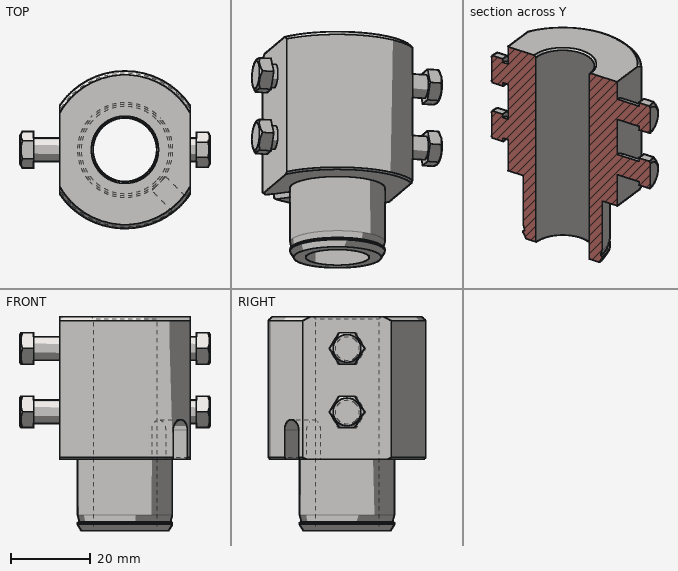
import cadquery as cq
import math

body_diameter = 39.8
body_height = 36.0
width_across_flats = 33.0
top_chamfer = 1.0
bottom_chamfer_radial = 0.5
bottom_chamfer_height = 0.5

spigot_diameter = 24.0
spigot_length = 18.0
groove_start = 14.0
groove_lip = 16.0
groove_step_height = 0.3
groove_depth = 0.45
lead_in_start = 16.4
lead_in_radial = 0.95

bore_diameter = 16.0
bore_chamfer = 0.5

bolt_diameter = 6.0
bolt_depths = (8.0, 24.0)
bolt_engagement = 5.0
head_across_flats = 8.0
head_height = 3.5
left_head_corner_diameter = head_across_flats / math.cos(math.radians(30))
right_head_corner_diameter = 8.9
head_face_diameter = 7.0
head_chamfer_angle = 30.0
left_head_end = 26.5
right_head_end = 21.5

slot_width = 5.0
slot_height = 10.0
slot_angle = -45.0


def make_body():
    body = cq.Workplane("XY").circle(body_diameter / 2).extrude(body_height)
    body = body.faces(">Z").chamfer(top_chamfer)
    body = body.faces("<Z").chamfer(bottom_chamfer_height, bottom_chamfer_radial)
    flats = cq.Workplane("XY").rect(width_across_flats, body_diameter).extrude(body_height)
    return body.intersect(flats)


def make_spigot():
    radius = spigot_diameter / 2
    groove_radius = radius - groove_depth
    profile = [
        (0, 0),
        (radius, 0),
        (radius, -groove_start),
        (groove_radius, -(groove_lip - groove_step_height)),
        (radius, -groove_lip),
        (radius, -lead_in_start),
        (radius - lead_in_radial, -spigot_length),
        (0, -spigot_length),
    ]
    return cq.Workplane("XZ").polyline(profile).close().revolve(360, (0, 0), (0, 1))


def make_bore():
    radius = bore_diameter / 2
    bore = cq.Workplane("XY", origin=(0, 0, -spigot_length)).circle(radius)
    bore = bore.extrude(spigot_length + body_height)
    mouth = cq.Workplane("XY", origin=(0, 0, body_height)).circle(radius + bore_chamfer)
    mouth = mouth.extrude(-bore_chamfer, taper=45)
    return bore.union(mouth)


def make_key_slot():
    """Round-topped slot cut inward as far as the spigot surface."""
    inner_radius = spigot_diameter / 2
    length = body_diameter / 2 - inner_radius
    half_width = slot_width / 2
    side_height = slot_height - half_width
    slot = (
        cq.Workplane("YZ", origin=(inner_radius, 0, 0))
        .moveTo(-half_width, 0)
        .lineTo(-half_width, side_height)
        .threePointArc((0, slot_height), (half_width, side_height))
        .lineTo(half_width, 0)
        .close()
        .extrude(length)
    )
    return slot.rotate((0, 0, 0), (0, 0, 1), slot_angle)


def make_bolt(head_end, corner_diameter):
    """Bolt along +X, its outer head face at X = head_end and its axis on Z = 0.

    The head has flats at top and bottom, and its six corners lie on the corner circle.
    """
    head_start = head_end - head_height
    shank_start = width_across_flats / 2 - bolt_engagement
    corner_radius = corner_diameter / 2
    half_height = head_across_flats / 2
    half_flat = math.sqrt(corner_radius**2 - half_height**2)
    outline = [
        (corner_radius, 0),
        (half_flat, half_height),
        (-half_flat, half_height),
        (-corner_radius, 0),
        (-half_flat, -half_height),
        (half_flat, -half_height),
    ]
    face_radius = head_face_diameter / 2
    chamfer_height = (corner_radius - face_radius) * math.tan(math.radians(head_chamfer_angle))

    shank = cq.Workplane("YZ", origin=(shank_start, 0, 0)).circle(bolt_diameter / 2)
    shank = shank.extrude(head_start - shank_start)
    head = cq.Workplane("YZ", origin=(head_start, 0, 0)).polyline(outline)
    head = head.close().extrude(head_height)
    chamfer_envelope = (
        cq.Workplane("XY")
        .moveTo(head_start, 0)
        .lineTo(head_start, corner_radius)
        .lineTo(head_end - chamfer_height, corner_radius)
        .lineTo(head_end, face_radius)
        .lineTo(head_end, 0)
        .close()
        .revolve(360, (0, 0), (1, 0))
    )
    return shank.union(head.intersect(chamfer_envelope))


result = make_body().union(make_spigot()).cut(make_key_slot()).cut(make_bore())

left_bolt = make_bolt(left_head_end, left_head_corner_diameter).rotate((0, 0, 0), (0, 0, 1), 180)
right_bolt = make_bolt(right_head_end, right_head_corner_diameter)
for depth in bolt_depths:
    for bolt in (left_bolt, right_bolt):
        result = result.union(bolt.translate((0, 0, body_height - depth)))